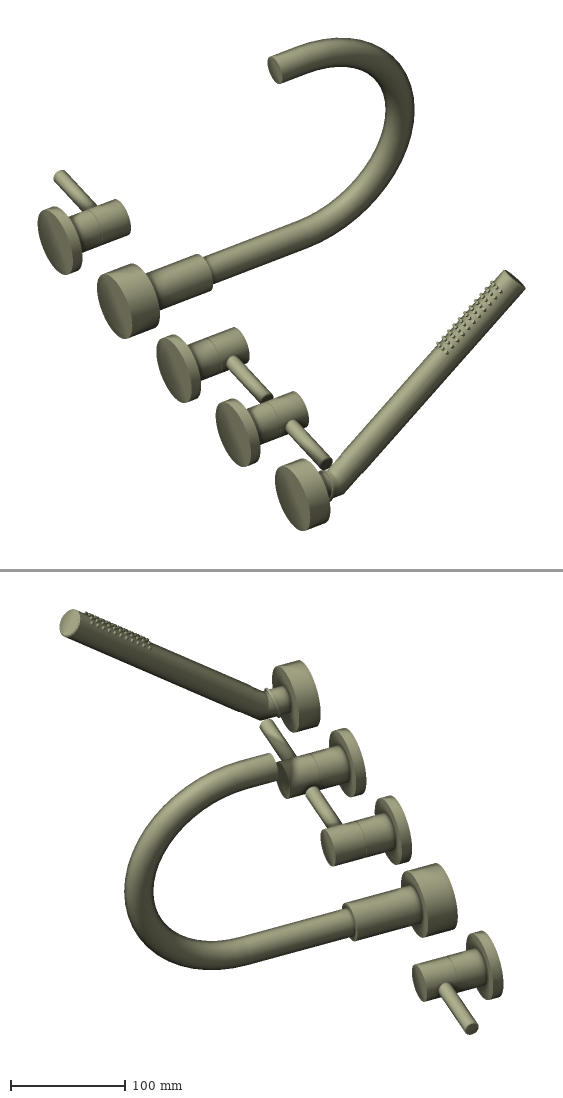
import cadquery as cq
import math

station_pitch = 101.5
plate_radius = 30.5
left_valve_station = 0
right_valve_stations = (2, 3)
spout_station = 1
shower_station = 4

valve_radius = 17.0
valve_height = 67.0
valve_plate_thickness = 10.0
groove_position = 38.0
groove_width = 1.0
groove_depth = 0.5
lever_radius = 6.5
lever_reach = 76.5
lever_height = 50.0
lever_chamfer = 0.75

spout_plate_thickness = 28.0
sleeve_radius = 17.5
sleeve_end = 90.5
spout_radius = 13.0
spout_rise = 200.0
bend_radius = spout_rise / 2
bend_start = 191.5
outlet_end = 163.5

holder_plate_thickness = 20.5
holder_radius = 12.5
wand_radius = 13.0
wand_tilt = 40
elbow_height = 43.5
socket_length = 11.0
wand_length = 217.5
neck_length = 11.5
collar_radius = 14.5
collar_position = 33.0
collar_width = 2.0
collar_tilt = 14
wand_chamfer = 1.0

nozzle_rows = 11
nozzle_columns = 4
nozzle_row_pitch = 7.0
nozzle_column_pitch = 4.5
nozzle_radius = 1.5
nozzle_height = 2.0
nozzle_end_gap = 15.5


def station_x(station):
    return station * station_pitch


def y_cylinder(x, radius, start, end):
    """Cylinder along +Y between two heights above the mounting plane."""
    plane = cq.Plane(origin=(x, start, 0), xDir=(1, 0, 0), normal=(0, 1, 0))
    return cq.Workplane(plane).circle(radius).extrude(end - start)


def make_valve(x, lever_side):
    """Grooved barrel on a wall plate; the lever points to -X (lever_side -1) or +X (lever_side 1)."""
    plate = y_cylinder(x, plate_radius, 0, valve_plate_thickness)
    barrel = y_cylinder(x, valve_radius, valve_plate_thickness, valve_height)
    groove_start = groove_position - groove_width / 2
    groove_end = groove_position + groove_width / 2
    groove = y_cylinder(x, valve_radius, groove_start, groove_end).cut(
        y_cylinder(x, valve_radius - groove_depth, groove_start, groove_end)
    )
    lever_plane = cq.Plane(origin=(x, lever_height, 0), xDir=(0, 1, 0), normal=(lever_side, 0, 0))
    lever = cq.Workplane(lever_plane).circle(lever_radius).extrude(lever_reach)
    lever = lever.faces(">X" if lever_side > 0 else "<X").chamfer(lever_chamfer)
    return plate.union(barrel).cut(groove).union(lever)


def make_spout(x):
    """Wall plate, sleeve and a half-circle gooseneck that ends in a straight outlet."""
    plate = y_cylinder(x, plate_radius, 0, spout_plate_thickness)
    sleeve = y_cylinder(x, sleeve_radius, spout_plate_thickness, sleeve_end)
    path = (
        cq.Workplane("YZ", origin=(x, 0, 0))
        .moveTo(sleeve_end, 0)
        .lineTo(bend_start, 0)
        .threePointArc((bend_start + bend_radius, bend_radius), (bend_start, spout_rise))
        .lineTo(outlet_end, spout_rise)
    )
    start = cq.Plane(origin=(x, sleeve_end, 0), xDir=(1, 0, 0), normal=(0, 1, 0))
    tube = cq.Workplane(start).circle(spout_radius).sweep(path)
    return plate.union(sleeve).union(tube)


def tilted_plane(x, distance):
    """Plane across the tilted axis, at a distance from the elbow; its local Y points to the spray side."""
    angle = math.radians(wand_tilt)
    axis = cq.Vector(0, math.cos(angle), math.sin(angle))
    origin = cq.Vector(x, elbow_height, 0) + axis * distance
    return cq.Plane(origin=origin.toTuple(), xDir=(-1, 0, 0), normal=axis.toTuple())


def make_holder(x):
    """Wall plate with a mitred elbow, and a thin leaning collar around the elbow's straight part."""
    plate = y_cylinder(x, plate_radius, 0, holder_plate_thickness)
    angle = math.radians(wand_tilt)
    path = (
        cq.Workplane("YZ", origin=(x, 0, 0))
        .moveTo(holder_plate_thickness, 0)
        .lineTo(elbow_height, 0)
        .lineTo(elbow_height + socket_length * math.cos(angle), socket_length * math.sin(angle))
    )
    start = cq.Plane(origin=(x, holder_plate_thickness, 0), xDir=(1, 0, 0), normal=(0, 1, 0))
    elbow = cq.Workplane(start).circle(holder_radius).sweep(path, transition="right")
    lean = math.radians(collar_tilt)
    collar_plane = cq.Plane(
        origin=(x, collar_position, 0), xDir=(1, 0, 0), normal=(0, math.cos(lean), -math.sin(lean))
    )
    collar = cq.Workplane(collar_plane).circle(collar_radius).extrude(collar_width / 2, both=True)
    return plate.union(elbow).union(collar)


def make_hand_shower(x):
    """Straight wand that stands on the end of the holder's elbow by a slightly thinner neck."""
    neck_end = socket_length + neck_length
    neck = cq.Workplane(tilted_plane(x, socket_length)).circle(holder_radius).extrude(neck_length)
    wand = cq.Workplane(tilted_plane(x, neck_end)).circle(wand_radius).extrude(wand_length)
    wand = wand.faces(">Z").chamfer(wand_chamfer)
    wand = wand.union(neck)

    first_row = neck_end + wand_length - nozzle_end_gap
    for row in range(nozzle_rows):
        plane = tilted_plane(x, first_row - row * nozzle_row_pitch)
        face = cq.Plane(origin=plane.origin, xDir=plane.xDir, normal=plane.yDir)
        for column in range(nozzle_columns):
            offset = (column - (nozzle_columns - 1) / 2) * nozzle_column_pitch
            tip = math.sqrt(wand_radius**2 - offset**2) + nozzle_height
            wand = wand.union(cq.Workplane(face).center(offset, 0).circle(nozzle_radius).extrude(tip))
    return wand


valves = [make_valve(station_x(left_valve_station), -1)]
for station in right_valve_stations:
    valves.append(make_valve(station_x(station), 1))
spout = make_spout(station_x(spout_station))
holder = make_holder(station_x(shower_station))
hand_shower = make_hand_shower(station_x(shower_station))

result = cq.Compound.makeCompound(
    [*[valve.val() for valve in valves], spout.val(), holder.val(), hand_shower.val()]
)